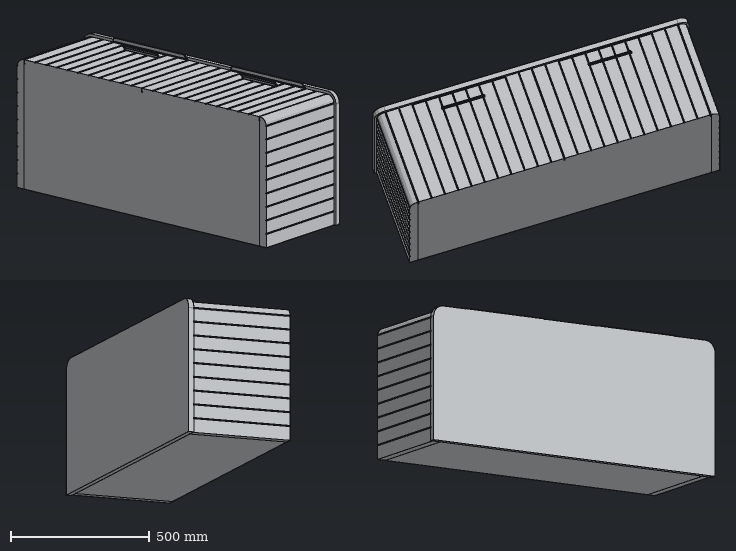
import cadquery as cq


TOP_LENGTH = 1200.0
TOP_HEIGHT = 500.0
TOP_THICKNESS = 20.0
TOP_CORNER_RADIUS = 42.0

TOTAL_DEPTH = 400.0
CABINET_DEPTH = TOTAL_DEPTH - TOP_THICKNESS
SIDE_OVERHANG = 8.0
FRONT_OVERHANG = 11.0
CABINET_HALF_LENGTH = TOP_LENGTH / 2 - SIDE_OVERHANG
CABINET_HEIGHT = TOP_HEIGHT - FRONT_OVERHANG
SIDE_PANEL_WIDTH = 32.0
CENTER_HALF_LENGTH = CABINET_HALF_LENGTH - SIDE_PANEL_WIDTH

GROOVE_WIDTH = 4.2
GROOVE_DEPTH = 3.0
SLIT_WIDTH = 4.0
SLIT_DEPTH = 15.0
SLATS_PER_DOOR = 11
OUTER_SLIT_X = CENTER_HALF_LENGTH - SLIT_WIDTH / 2
FRONT_PITCH = OUTER_SLIT_X / SLATS_PER_DOOR
SIDE_GROOVE_COUNT = 9
LOWEST_SIDE_GROOVE_Z = 53.0
HIGHEST_SIDE_GROOVE_Z = 461.0
SIDE_PITCH = (HIGHEST_SIDE_GROOVE_Z - LOWEST_SIDE_GROOVE_Z) / (SIDE_GROOVE_COUNT - 1)

DOOR_CENTERS_X = (-CENTER_HALF_LENGTH / 2, CENTER_HALF_LENGTH / 2)

FLAP_BASE_LENGTH = 353.0
FLAP_TIP_LENGTH = 331.0
FLAP_BEND_Z = 493.0
FLAP_TIP_Z = 510.0
FLAP_REACH = 11.4
FLAP_THICKNESS = 4.0

HANDLE_LENGTH = 162.0
HANDLE_Y = -50.0
HANDLE_SETBACK = 11.0
HANDLE_BEND_START_Z = 498.0
HANDLE_BEND_END_Z = HANDLE_BEND_START_Z + HANDLE_SETBACK
HANDLE_END_WIDTH = 4.0
HANDLE_END_THICKNESS = 5.0
HANDLE_END_TOP_Z = 514.0
HANDLE_STRIP_THICKNESS = 4.0
HANDLE_STRIP_TOP_Z = 511.0


def box_between(x_range, y_range, z_range):
    """Box spanning the given (low, high) ranges."""
    size = [high - low for low, high in (x_range, y_range, z_range)]
    corner = (x_range[0], y_range[0], z_range[0])
    return cq.Workplane("XY").box(*size, centered=False).translate(corner)


def make_worktop():
    """Plate with its two front corners rounded."""
    half = TOP_LENGTH / 2
    plate = box_between((-half, half), (0, TOP_THICKNESS), (0, TOP_HEIGHT))
    return plate.edges("|Y and >Z").fillet(TOP_CORNER_RADIUS)


def front_groove(x):
    """V-shaped cutter running along Y in the front face."""
    return (
        cq.Workplane("XZ")
        .moveTo(x - GROOVE_WIDTH / 2, CABINET_HEIGHT)
        .lineTo(x, CABINET_HEIGHT - GROOVE_DEPTH)
        .lineTo(x + GROOVE_WIDTH / 2, CABINET_HEIGHT)
        .close()
        .extrude(CABINET_DEPTH)
    )


def front_slit(x):
    """Straight-walled cutter running along Y in the front face."""
    return box_between(
        (x - SLIT_WIDTH / 2, x + SLIT_WIDTH / 2),
        (-CABINET_DEPTH, 0),
        (CABINET_HEIGHT - SLIT_DEPTH, CABINET_HEIGHT),
    )


def side_groove(z):
    """V-shaped cutter running along Y in the outer face of the left panel."""
    return (
        cq.Workplane("XZ")
        .moveTo(-CABINET_HALF_LENGTH, z - GROOVE_WIDTH / 2)
        .lineTo(-CABINET_HALF_LENGTH + GROOVE_DEPTH, z)
        .lineTo(-CABINET_HALF_LENGTH, z + GROOVE_WIDTH / 2)
        .close()
        .extrude(CABINET_DEPTH)
    )


def make_center_block():
    """Block with V grooves between its slats and deep slits at the edges of its two doors."""
    block = box_between(
        (-CENTER_HALF_LENGTH, CENTER_HALF_LENGTH), (-CABINET_DEPTH, 0), (0, CABINET_HEIGHT)
    )
    for i in range(-SLATS_PER_DOOR, SLATS_PER_DOOR + 1):
        is_door_edge = i % SLATS_PER_DOOR == 0
        make_cutter = front_slit if is_door_edge else front_groove
        block = block.cut(make_cutter(i * FRONT_PITCH))
    return block


def make_left_panel():
    """Side panel with a quarter-round front edge and V grooves in its outer face."""
    panel = (
        cq.Workplane("XZ")
        .moveTo(-CABINET_HALF_LENGTH, 0)
        .lineTo(-CABINET_HALF_LENGTH, CABINET_HEIGHT - SIDE_PANEL_WIDTH)
        .radiusArc((-CENTER_HALF_LENGTH, CABINET_HEIGHT), SIDE_PANEL_WIDTH)
        .lineTo(-CENTER_HALF_LENGTH, 0)
        .close()
        .extrude(CABINET_DEPTH)
    )
    for i in range(SIDE_GROOVE_COUNT):
        panel = panel.cut(side_groove(LOWEST_SIDE_GROOVE_Z + i * SIDE_PITCH))
    return panel


def make_flap(x):
    """Thin plate against the worktop that leans away above its bend and narrows to its tip."""
    profile = [
        (0, CABINET_HEIGHT),
        (0, FLAP_BEND_Z),
        (-FLAP_REACH + FLAP_THICKNESS, FLAP_TIP_Z),
        (-FLAP_REACH, FLAP_TIP_Z),
        (-FLAP_THICKNESS, FLAP_BEND_Z),
        (-FLAP_THICKNESS, CABINET_HEIGHT),
    ]
    plate = cq.Workplane("YZ").polyline(profile).close().extrude(FLAP_BASE_LENGTH / 2, both=True)
    outline = [
        (-FLAP_BASE_LENGTH / 2, CABINET_HEIGHT),
        (-FLAP_BASE_LENGTH / 2, FLAP_BEND_Z),
        (-FLAP_TIP_LENGTH / 2, FLAP_TIP_Z),
        (FLAP_TIP_LENGTH / 2, FLAP_TIP_Z),
        (FLAP_BASE_LENGTH / 2, FLAP_BEND_Z),
        (FLAP_BASE_LENGTH / 2, CABINET_HEIGHT),
    ]
    taper = cq.Workplane("XZ").polyline(outline).close().extrude(FLAP_REACH)
    return plate.intersect(taper).translate((x, 0, 0))


def handle_section(length, thickness, top_z):
    """Cranked bar standing on the front, centered on X = 0, its thickness centered on HANDLE_Y."""
    near_y = HANDLE_Y + thickness / 2
    far_y = HANDLE_Y - thickness / 2
    profile = [
        (near_y, CABINET_HEIGHT),
        (near_y, HANDLE_BEND_START_Z),
        (near_y - HANDLE_SETBACK, HANDLE_BEND_END_Z),
        (near_y - HANDLE_SETBACK, top_z),
        (far_y - HANDLE_SETBACK, top_z),
        (far_y - HANDLE_SETBACK, HANDLE_BEND_END_Z),
        (far_y, HANDLE_BEND_START_Z),
        (far_y, CABINET_HEIGHT),
    ]
    return cq.Workplane("YZ").polyline(profile).close().extrude(length / 2, both=True)


def make_handle(x):
    """Cranked strip with a thicker and taller piece at each end."""
    handle = handle_section(HANDLE_LENGTH, HANDLE_STRIP_THICKNESS, HANDLE_STRIP_TOP_Z)
    end_piece = handle_section(HANDLE_END_WIDTH, HANDLE_END_THICKNESS, HANDLE_END_TOP_Z)
    end_offset = (HANDLE_LENGTH - HANDLE_END_WIDTH) / 2
    for end_x in (-end_offset, end_offset):
        handle = handle.union(end_piece.translate((end_x, 0, 0)))
    return handle.translate((x, 0, 0))


worktop = make_worktop()
center_block = make_center_block()
left_panel = make_left_panel()
right_panel = left_panel.mirror("YZ")
flaps = [make_flap(x) for x in DOOR_CENTERS_X]
handles = [make_handle(x) for x in DOOR_CENTERS_X]

result = cq.Compound.makeCompound(
    [
        worktop.val(),
        center_block.val(),
        left_panel.val(),
        right_panel.val(),
        *[flap.val() for flap in flaps],
        *[handle.val() for handle in handles],
    ]
)